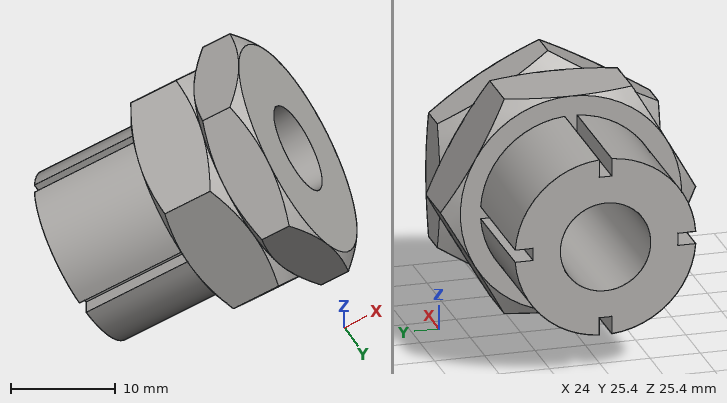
import cadquery as cq
import math

across_corners = 25.4
across_flats = across_corners * math.cos(math.radians(30))
chamfer_angle = 30.0
sleeve_length = 12.0
sleeve_diameter = 18.0
bore_diameter = 9.0
collar_length = 7.0
nut_length = 5.0
slot_width = 1.25
slot_depth = 1.8
slot_count = 4

total_length = sleeve_length + collar_length + nut_length
sleeve_start = -total_length / 2
collar_start = sleeve_start + sleeve_length
nut_start = collar_start + collar_length


def cylinder(start, length, diameter):
    return cq.Workplane("YZ", origin=(start, 0, 0)).circle(diameter / 2).extrude(length)


def chamfered_hexagon(start, length, rotation):
    """Hexagon along X with conical corners on both ends; rotation 0 puts corners on +/-Y."""
    prism = cq.Workplane("YZ", origin=(start, 0, 0)).polygon(6, across_corners).extrude(length)
    prism = prism.rotate((0, 0, 0), (1, 0, 0), rotation)
    corner_radius = across_corners / 2
    flat_radius = across_flats / 2
    chamfer_length = (corner_radius - flat_radius) * math.tan(math.radians(chamfer_angle))
    end = start + length
    envelope = (
        cq.Workplane("XY")
        .moveTo(start, 0)
        .lineTo(start, flat_radius)
        .lineTo(start + chamfer_length, corner_radius)
        .lineTo(end - chamfer_length, corner_radius)
        .lineTo(end, flat_radius)
        .lineTo(end, 0)
        .close()
        .revolve(360, (0, 0, 0), (1, 0, 0))
    )
    return prism.intersect(envelope)


def sleeve_slot(angle):
    """Cutter for one lengthwise groove in the outside of the sleeve."""
    slot_floor = sleeve_diameter / 2 - slot_depth
    cutter = cq.Workplane("XY").box(
        sleeve_length, slot_width, across_corners / 2 - slot_floor, centered=(False, True, False)
    )
    return cutter.translate((sleeve_start, 0, slot_floor)).rotate((0, 0, 0), (1, 0, 0), angle)


def make_sleeve():
    """Slotted round sleeve with a hexagonal collar, bored through."""
    body = cylinder(sleeve_start, sleeve_length, sleeve_diameter)
    for index in range(slot_count):
        body = body.cut(sleeve_slot(index * 360 / slot_count))
    body = body.union(chamfered_hexagon(collar_start, collar_length, 0))
    return body.cut(cylinder(sleeve_start, sleeve_length + collar_length, bore_diameter))


def make_nut():
    """Hexagon nut behind the collar, turned 30 degrees so that corners point along +/-Z."""
    body = chamfered_hexagon(nut_start, nut_length, 30)
    return body.cut(cylinder(nut_start, nut_length, bore_diameter))


sleeve = make_sleeve()
nut = make_nut()

result = cq.Compound.makeCompound([sleeve.val(), nut.val()])